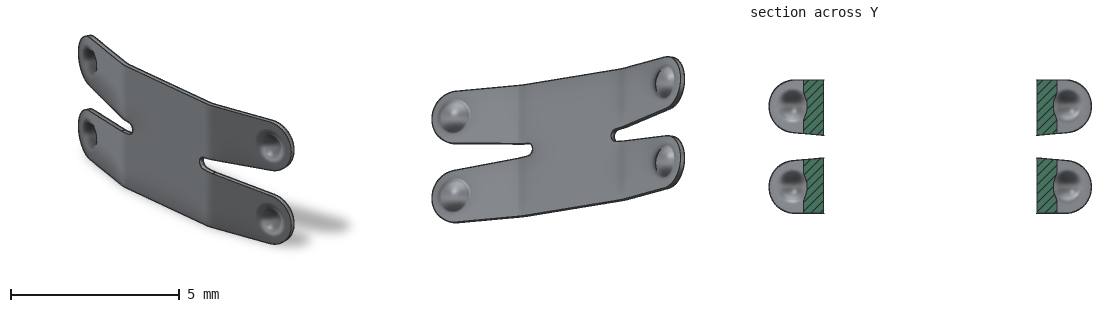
import cadquery as cq
import math

length = 9.57
height = 3.96
thickness = 0.15
flat_half_length = 1.78
bend_angle = 14.5
bend_outer_radius = 1.1

lobe_radius = 0.78
slot_end_radius = 0.19
slot_end_x = 1.69

dimple_radius = 0.55
dimple_seam_radius = 0.33
dimple_depth = 0.24
dimple_offset = 0.05

bend = math.radians(bend_angle)
half_height = height / 2
lobe_z = half_height - lobe_radius
bend_inner_radius = bend_outer_radius - thickness

leaf_x = flat_half_length + bend_outer_radius * math.sin(bend)
leaf_y = bend_outer_radius * (1 - math.cos(bend))
lobe_distance = (length / 2 - leaf_x) / math.cos(bend) - lobe_radius

slot_run = lobe_distance + leaf_x - slot_end_x
slot_angle = math.acos(
    (lobe_radius + slot_end_radius) / math.hypot(slot_run, lobe_z)
) - math.atan2(slot_run, lobe_z)
lobe_tangent = (
    lobe_distance + lobe_radius * math.sin(slot_angle),
    lobe_z - lobe_radius * math.cos(slot_angle),
)
slot_tangent = (
    slot_end_x - slot_end_radius * math.sin(slot_angle),
    slot_end_radius * math.cos(slot_angle),
)
leaf_slot_z = lobe_tangent[1] - lobe_tangent[0] * math.tan(slot_angle)


def bend_point(radius, angle):
    """Point on the right-hand bend, at an angle from the flat middle."""
    return (
        flat_half_length + radius * math.sin(angle),
        bend_outer_radius - radius * math.cos(angle),
    )


def make_middle_half():
    """Right half of the flat middle with its bend and the slot end."""
    sheet = (
        cq.Workplane("XY")
        .moveTo(0, 0)
        .lineTo(flat_half_length, 0)
        .threePointArc(bend_point(bend_outer_radius, bend / 2), bend_point(bend_outer_radius, bend))
        .lineTo(*bend_point(bend_inner_radius, bend))
        .threePointArc(bend_point(bend_inner_radius, bend / 2), bend_point(bend_inner_radius, 0))
        .lineTo(0, thickness)
        .close()
        .extrude(half_height, both=True)
    )
    slot = (
        cq.Workplane("XZ")
        .moveTo(leaf_x, -leaf_slot_z)
        .lineTo(slot_tangent[0], -slot_tangent[1])
        .threePointArc((slot_end_x - slot_end_radius, 0), slot_tangent)
        .lineTo(leaf_x, leaf_slot_z)
        .close()
        .extrude(bend_outer_radius, both=True)
    )
    return sheet.cut(slot)


def make_dimple():
    """Curved shell of even thickness: a ball cap blended into the sheet by a fillet.

    It is centred on the Y axis and its rim lies at Y = 0 to the sheet thickness.
    """
    slope = 2 * math.atan(dimple_depth / dimple_radius)
    cap_radius = dimple_seam_radius / math.sin(slope)
    fillet_radius = (dimple_radius - dimple_seam_radius) / math.sin(slope)

    def cap_point(radius, angle):
        centre_y = dimple_depth - cap_radius
        return (radius * math.sin(angle), centre_y + radius * math.cos(angle))

    def fillet_point(radius, angle):
        return (dimple_radius - radius * math.sin(angle), fillet_radius - radius * math.cos(angle))

    cap_back = cap_radius + thickness
    fillet_back = fillet_radius - thickness
    return (
        cq.Workplane("XY")
        .moveTo(0, dimple_depth)
        .threePointArc(cap_point(cap_radius, slope / 2), cap_point(cap_radius, slope))
        .threePointArc(fillet_point(fillet_radius, slope / 2), (dimple_radius, 0))
        .lineTo(dimple_radius, thickness)
        .threePointArc(fillet_point(fillet_back, slope / 2), fillet_point(fillet_back, slope))
        .threePointArc(cap_point(cap_back, slope / 2), cap_point(cap_back, 0))
        .close()
        .revolve(360, (0, 0, 0), (0, 1, 0))
    )


def make_lobe():
    """Upper right lobe with its dimple, built flat and then tilted onto the bend."""
    dimple_x = lobe_distance + dimple_offset
    plate = (
        cq.Workplane("XZ")
        .moveTo(0, leaf_slot_z)
        .lineTo(*lobe_tangent)
        .threePointArc((lobe_distance + lobe_radius, lobe_z), (lobe_distance, half_height))
        .lineTo(0, half_height)
        .close()
        .extrude(-thickness)
    )
    opening = cq.Workplane("XZ").center(dimple_x, lobe_z).circle(dimple_radius).extrude(-thickness)
    dimple = make_dimple().translate((dimple_x, 0, lobe_z))
    lobe = plate.cut(opening).union(dimple)
    return lobe.rotate((0, 0, 0), (0, 0, 1), bend_angle).translate((leaf_x, leaf_y, 0))


lobe = make_lobe()
right_half = make_middle_half().union(lobe).union(lobe.mirror("XY"))
result = right_half.union(right_half.mirror("YZ"))